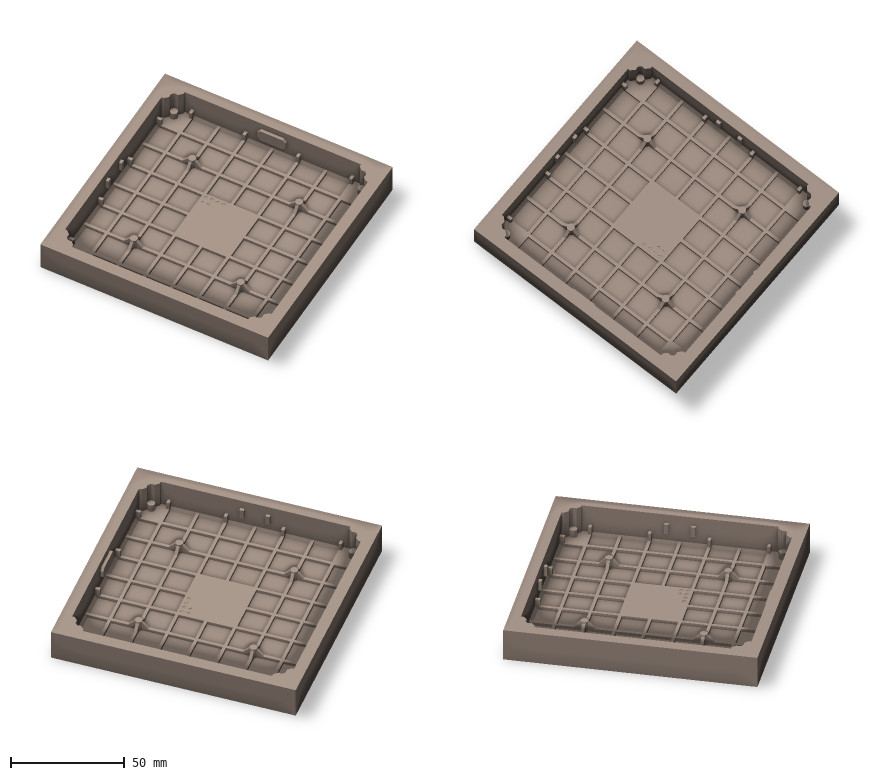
import cadquery as cq
import math

side = 114.0
height = 15.0
half_cavity = 51.6
pocket_floor = 0.5
slope_width = 1.5
plate_top = pocket_floor + slope_width

ribs_per_side = 3
outer_rib = 40.1
rib_pitch = outer_rib / ribs_per_side
rib_width = 1.5

support_flats = 3.4
support_top = 5.6
boss_offset = 2 * rib_pitch
gusset_reach = 4.7

corner_step = 1.1
corner_size = 7.5
corner_offset = 47.0
groove_flats = 3.8

post_depth = 2.3

pad_length = 14.1
pad_depth = 1.5
pad_bottom = 5.5
pad_top = 11.5
pad_chamfer = 1.5

tab_width = 2.0
tab_bottom = 5.9
tab_top = 10.7
tab_offset = (pad_length - tab_width) / 2

marker_size = 2.0
marker_depth = 0.2
marker_pitch = 3.0
marker_start = 11.9
round_markers = 4
square_markers = 2


def box_between(x0, x1, y0, y1, z0, z1):
    return cq.Workplane("XY").box(x1 - x0, y1 - y0, z1 - z0, centered=False).translate((x0, y0, z0))


def octagon_prism(x, y, flats, z0, z1):
    """Eight-sided prism with flats facing along X and Y."""
    half_facet_angle = 360 / 16
    across_corners = flats / math.cos(math.radians(half_facet_angle))
    prism = cq.Workplane("XY").polygon(8, across_corners).extrude(z1 - z0)
    return prism.rotate((0, 0, 0), (0, 0, 1), half_facet_angle).translate((x, y, z0))


def turned(feature, quarter_turns):
    return feature.rotate((0, 0, 0), (0, 0, 1), 90 * quarter_turns)


def at_four_sides(feature):
    """Copies of a feature turned by quarter turns about the tray axis."""
    return [turned(feature, quarter_turns) for quarter_turns in range(4)]


def make_cavity():
    """Square cavity with stepped, chamfered and grooved corners."""
    depth = height - plate_top
    cavity = cq.Workplane("XY").rect(2 * half_cavity, 2 * half_cavity).extrude(depth)
    near = half_cavity - corner_size
    far = half_cavity - corner_step
    corner_block = (
        cq.Workplane("XY")
        .polyline([(near, half_cavity), (near, far), (far, near),
                   (half_cavity, near), (half_cavity, half_cavity)])
        .close()
        .extrude(depth)
    )
    groove = octagon_prism(corner_offset, corner_offset, groove_flats, 0, depth)
    for block in at_four_sides(corner_block.cut(groove)):
        cavity = cavity.cut(block)
    return cavity.translate((0, 0, plate_top))


def pocket_span(index):
    """Limits of a pocket, counted outward from the middle rib."""
    start = index * rib_pitch + rib_width / 2
    end = min((index + 1) * rib_pitch - rib_width / 2, half_cavity)
    return start, end


def make_pockets():
    """Pockets of the quarter with positive X and Y, leaving the centre pad and the corner solid."""
    pockets = cq.Workplane("XY")
    for column in range(ribs_per_side + 1):
        for row in range(ribs_per_side + 1):
            if column == row and row in (0, ribs_per_side):
                continue
            pockets = pockets.union(box_between(*pocket_span(column), *pocket_span(row),
                                                pocket_floor, plate_top))
    return pockets


def make_wall_slope():
    """Wedge along the foot of the +X wall, rising outward to the plate top."""
    return (
        cq.Workplane("XZ")
        .polyline([(half_cavity - slope_width, pocket_floor),
                   (half_cavity, pocket_floor), (half_cavity, plate_top)])
        .close()
        .extrude(outer_rib, both=True)
    )


def make_wall_posts():
    """Posts on the +X wall at every second rib."""
    posts = cq.Workplane("XY")
    for rib in range(-ribs_per_side, ribs_per_side + 1, 2):
        y = rib * rib_pitch
        posts = posts.union(box_between(half_cavity - post_depth, half_cavity,
                                        y - rib_width / 2, y + rib_width / 2,
                                        pocket_floor, support_top))
    return posts


def make_boss():
    """Support boss on a rib crossing, braced by four gussets along the ribs."""
    boss_half = support_flats / 2
    gusset_top = plate_top + gusset_reach - boss_half
    gusset_pair = (
        cq.Workplane("XZ")
        .polyline([(-gusset_reach, pocket_floor), (-gusset_reach, plate_top),
                   (-boss_half, gusset_top), (boss_half, gusset_top),
                   (gusset_reach, plate_top), (gusset_reach, pocket_floor)])
        .close()
        .extrude(rib_width / 2, both=True)
    )
    boss = octagon_prism(0, 0, support_flats, pocket_floor, support_top)
    boss = boss.union(gusset_pair).union(turned(gusset_pair, 1))
    return boss.translate((boss_offset, boss_offset, 0))


def make_corner_pin():
    return octagon_prism(corner_offset, corner_offset, support_flats, pocket_floor, support_top)


def make_pad():
    """Pad with chamfered corners on the +Y wall."""
    pad = box_between(-pad_length / 2, pad_length / 2, half_cavity - pad_depth, half_cavity,
                      pad_bottom, pad_top)
    return pad.edges("|Y").chamfer(pad_chamfer)


def make_tab_pair():
    """Two small tabs on the +X wall."""
    pair = cq.Workplane("XY")
    for y in (-tab_offset, tab_offset):
        pair = pair.union(box_between(half_cavity - pad_depth, half_cavity,
                                      y - tab_width / 2, y + tab_width / 2, tab_bottom, tab_top))
    return pair


def marker_row(row, count):
    points = [(-marker_start + column * marker_pitch, marker_start - row * marker_pitch)
              for column in range(count)]
    return cq.Workplane("XY").workplane(offset=plate_top - marker_depth).pushPoints(points)


result = cq.Workplane("XY").rect(side, side).extrude(height).cut(make_cavity())
for pockets in at_four_sides(make_pockets()):
    result = result.cut(pockets)

for repeated in (make_wall_slope(), make_wall_posts(), make_boss(), make_corner_pin()):
    for feature in at_four_sides(repeated):
        result = result.union(feature)

result = result.union(make_pad())
for quarter_turns in (0, 2, 3):
    result = result.union(turned(make_tab_pair(), quarter_turns))

result = result.cut(marker_row(0, round_markers).circle(marker_size / 2).extrude(marker_depth))
result = result.cut(marker_row(1, square_markers).polygon(4, marker_size).extrude(marker_depth))